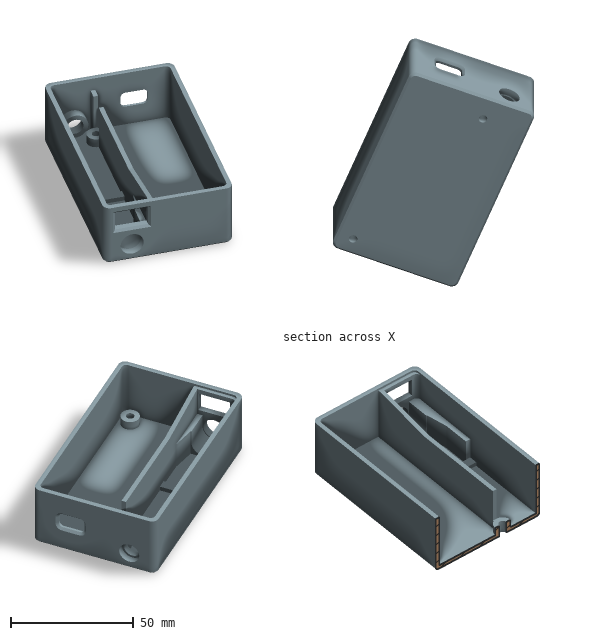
import cadquery as cq

length = 90.0
width = 55.0
height = 28.0
wall = 2.0
floor = wall
outer_radius = 3.0
inner_radius = 2.0
base_chamfer = 1.0

inner_length = length - 2 * wall
inner_width = width - 2 * wall
left_inside = -inner_length / 2
right_inside = inner_length / 2
front_inside = -inner_width / 2

partition_back = -6.0
partition_thickness = 2.0
partition_front = partition_back - partition_thickness
partition_top = 22.0
partition_high_top = 27.0
left_ramp_end = -39.9
left_ramp_rise = 0.2
right_ramp_start = 13.05

boss_diameter = 8.0
boss_hole_diameter = 3.5
boss_height = 4.0
boss_top = floor + boss_height
corner_boss = (37.9, 20.4)
partition_boss = (-34.9, partition_front)
boss_centers = [corner_boss, partition_boss]

pad_thickness = 1.5
pad_face = right_inside - pad_thickness

axis_y = -15.7
axis_z = 8.0

tube_diameter = 11.2
tube_length = 3.9
tube_bore = 7.0
tube_counterbore = 9.0
tube_counterbore_depth = 3.0

cradle_left = 7.4
cradle_top = 13.9
taper_start = 20.0
taper_end = 30.15
taper_end_width = 11.2
pocket_width = 15.0
trough_width = 10.5
end_hole_diameter = 9.8

rib_width = 3.9
rib_height = 2.0

opening_chamfer = 1.0
left_opening_y = 10.5
left_opening_z = 14.5
left_opening_width = 11.5
left_opening_height = 7.0
left_opening_radius = 2.0
right_opening_z = 20.4
right_opening_width = 14.2
right_opening_height = 8.6
right_opening_radius = 0


def block(x_min, x_max, y_min, y_max, z_min, z_max):
    """Axis-aligned box given by its limits."""
    size = (x_max - x_min, y_max - y_min, z_max - z_min)
    return cq.Workplane("XY").box(*size, centered=False).translate((x_min, y_min, z_min))


def rod(diameter, x_min, x_max):
    """Cylinder on the channel axis."""
    plane = cq.Workplane("YZ", origin=(x_min, axis_y, axis_z))
    return plane.circle(diameter / 2).extrude(x_max - x_min)


def inside_prism(top):
    """Interior of the box from the floor up to the given height."""
    prism = cq.Workplane("XY", origin=(0, 0, floor)).rect(inner_length, inner_width)
    return prism.extrude(top - floor).edges("|Z").fillet(inner_radius)


def make_shell():
    """Open-topped box with rounded vertical corners and a chamfered underside."""
    outside = cq.Workplane("XY").rect(length, width).extrude(height)
    outside = outside.edges("|Z").fillet(outer_radius).faces("<Z").edges().chamfer(base_chamfer)
    return outside.cut(inside_prism(height))


def make_partition():
    """Thin wall with a ramp at each end and a gap above the boss that stands in its line."""
    profile = [
        (left_inside, 0),
        (left_inside, partition_top + left_ramp_rise),
        (left_ramp_end, partition_top),
        (right_ramp_start, partition_top),
        (pad_face, partition_high_top),
        (right_inside, partition_high_top),
        (right_inside, 0),
    ]
    plane = cq.Workplane("XZ", origin=(0, partition_back, 0))
    partition = plane.polyline(profile).close().extrude(partition_thickness)
    boss_x = partition_boss[0]
    gap_half = boss_diameter / 2
    gap = block(boss_x - gap_half, boss_x + gap_half, partition_front, partition_back, boss_top, height)
    return partition.cut(gap)


def make_pad():
    """Thicker stretch of the right wall, rounded where it meets the front wall."""
    shifted_inside = inside_prism(height).translate((-pad_thickness, 0, 0))
    region = block(0, right_inside, front_inside, partition_back, floor, partition_high_top)
    return inside_prism(partition_high_top).intersect(region).cut(shifted_inside)


def make_cradle():
    """Block with a tapering pocket, open to the partition, that leads into a round-bottomed trough."""
    body = block(cradle_left, right_inside, front_inside, partition_front, floor, cradle_top)
    body = body.intersect(inside_prism(height))
    pocket_half = pocket_width / 2
    taper_half = taper_end_width / 2
    pocket_outline = [
        (cradle_left, axis_y - pocket_half),
        (taper_start, axis_y - pocket_half),
        (taper_end, axis_y - taper_half),
        (taper_end, axis_y + taper_half),
        (taper_start, partition_front),
        (cradle_left, partition_front),
    ]
    pocket = cq.Workplane("XY", origin=(0, 0, floor)).polyline(pocket_outline).close().extrude(cradle_top)
    trough_half = trough_width / 2
    trough = rod(trough_width, taper_end, pad_face).union(
        block(taper_end, pad_face, axis_y - trough_half, axis_y + trough_half, axis_z, cradle_top)
    )
    return body.cut(pocket).cut(trough)


def make_rib():
    rib_left = cradle_left - rib_width
    return block(rib_left, cradle_left, front_inside, partition_front, floor, floor + rib_height)


def make_bosses():
    plane = cq.Workplane("XY", origin=(0, 0, floor)).pushPoints(boss_centers)
    return plane.circle(boss_diameter / 2).extrude(boss_height)


def rounded_rectangle(size_y, size_z, corner_radius):
    """Sketch of a rectangle whose corners are sharp when the radius is zero."""
    sketch = cq.Sketch().rect(size_y, size_z)
    if corner_radius > 0:
        sketch = sketch.vertices().fillet(corner_radius)
    return sketch


def chamfered_opening(outer_face_x, inward, depth, y, z, size_y, size_z, corner_radius):
    """Cutter for an opening in an end wall that flares out at the outer face.

    inward is the sign of the X direction that leads into the box.
    """
    plane = cq.Workplane("YZ", origin=(outer_face_x, y, z))
    narrow = rounded_rectangle(size_y, size_z, corner_radius)
    wide_radius = corner_radius + opening_chamfer if corner_radius > 0 else 0
    wide = rounded_rectangle(size_y + 2 * opening_chamfer, size_z + 2 * opening_chamfer, wide_radius)
    flare_end = narrow.moved(cq.Location(cq.Vector(0, 0, inward * opening_chamfer)))
    flare = plane.placeSketch(wide, flare_end).loft()
    return plane.placeSketch(narrow).extrude(inward * depth).union(flare)


def cut_openings(body):
    """Wall openings, the holes on the channel axis and the screw holes."""
    half = length / 2
    left_opening = chamfered_opening(
        -half, 1, wall, left_opening_y, left_opening_z,
        left_opening_width, left_opening_height, left_opening_radius,
    )
    right_opening = chamfered_opening(
        half, -1, wall + pad_thickness, axis_y, right_opening_z,
        right_opening_width, right_opening_height, right_opening_radius,
    )
    body = body.cut(left_opening).cut(right_opening)
    body = body.cut(rod(tube_bore, -half, left_inside + tube_length))
    body = body.cut(rod(tube_counterbore, -half, tube_counterbore_depth - half))
    body = body.cut(rod(end_hole_diameter, pad_face, half))
    holes = cq.Workplane("XY").pushPoints(boss_centers).circle(boss_hole_diameter / 2).extrude(height)
    return body.cut(holes)


body = make_shell()
for feature in (make_partition(), make_pad(), make_cradle(), make_rib(), make_bosses()):
    body = body.union(feature)
body = body.union(rod(tube_diameter, left_inside, left_inside + tube_length))
result = cut_openings(body)